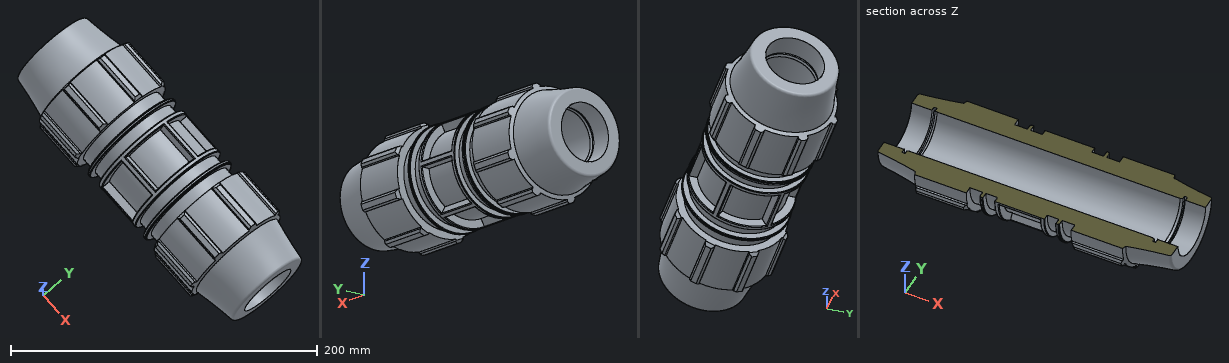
import cadquery as cq
import math

length = 215.0
half_length = length / 2
bore_radius = 40.0 / 2
body_radius = 65.6 / 2

grip_radius = 73.8 / 2
grip_half_width = 18.3
flange_width = 3.3
pocket_half_width = grip_half_width - flange_width
pocket_floor_radius = 30.6
pocket_count = 6
grip_rib_thickness = 4.0
grip_end_chamfer = 0.5
pocket_rim_chamfer = 0.6

collar_inner_x = 26.5
collar_outer_x = 29.2
collar_chamfer = 0.5
bead_radius = 37.4
bead_width = 1.8

nut_inner_x = 38.2
nut_outer_x = 77.0
nut_radius = 38.2
nut_end_slope = 0.36
nut_trim_clearance = 1.0
nut_rib_count = 8
nut_rib_radius = 40.93
nut_rib_tip_width = 4.0
nut_rib_width = 7.0
nut_rib_shoulder_radius = 39.3
nut_rib_end_chamfer = 2.1

nose_root_radius = 35.4
nose_end_radius = 30.2
nose_sag = 0.4
nose_fillet = 1.9

groove_depth_from_mouth = 15.0
groove_width = 1.9
groove_radius = 23.0
lead_in_length = 1.8
lead_in_height = 0.7

TOLERANCE = 0.01


def disc(radius, x_start, x_end):
    return cq.Workplane("YZ").workplane(offset=x_start).circle(radius).extrude(x_end - x_start)


def revolve_about_x(profile):
    return profile.close().revolve(360, (0, 0, 0), (1, 0, 0))


def is_pocket_rim(edge):
    """True for edges on the outer surface of the grip that border a pocket."""
    middle = edge.positionAt(0.5)
    on_surface = math.hypot(middle.y, middle.z) > grip_radius - TOLERANCE
    return on_surface and abs(middle.x) < pocket_half_width + TOLERANCE


def grip():
    """Band with pockets; the ribs left between them lie at 0, 60, 120... degrees from +Y."""
    pockets = disc(grip_radius, -pocket_half_width, pocket_half_width)
    pockets = pockets.cut(disc(pocket_floor_radius, -pocket_half_width, pocket_half_width))
    rib = cq.Workplane("XY").box(
        2 * grip_half_width, grip_radius, grip_rib_thickness, centered=(True, False, True)
    )
    for index in range(pocket_count):
        pockets = pockets.cut(rib.rotate((0, 0, 0), (1, 0, 0), index * 360 / pocket_count))
    band = disc(grip_radius, -grip_half_width, grip_half_width).edges().chamfer(grip_end_chamfer)
    band = band.cut(pockets)
    rim_edges = [edge for edge in band.edges().vals() if is_pocket_rim(edge)]
    return band.newObject(rim_edges).chamfer(pocket_rim_chamfer)


def collar():
    """Flange at the +X end with its bead."""
    flange = disc(grip_radius, collar_inner_x, collar_outer_x).faces(">X").edges().chamfer(collar_chamfer)
    bead = disc(bead_radius, collar_inner_x, collar_inner_x + bead_width)
    bead = bead.faces("<X").edges().chamfer(collar_chamfer)
    return flange.union(bead)


def nose():
    """Hollow-sided cone narrowing to the mouth; its cylindrical root lies inside the nut ring."""
    mid_x = (nut_outer_x + half_length) / 2
    mid_radius = (nose_root_radius + nose_end_radius) / 2 - nose_sag
    profile = (
        cq.Workplane("XY")
        .moveTo(nut_inner_x, 0)
        .lineTo(nut_inner_x, nose_root_radius)
        .lineTo(nut_outer_x, nose_root_radius)
        .threePointArc((mid_x, mid_radius), (half_length, nose_end_radius))
        .lineTo(half_length, 0)
    )
    return revolve_about_x(profile).faces(">X").edges().fillet(nose_fillet)


def nut_ribs():
    """Ribs straddling the Y and Z axes evenly: upright walls, sloped shoulders and a flat tip."""
    wall = nut_rib_width / 2
    tip = nut_rib_tip_width / 2
    rib = (
        cq.Workplane("YZ")
        .workplane(offset=nut_inner_x)
        .polyline([
            (nose_root_radius, -wall),
            (nut_rib_shoulder_radius, -wall),
            (nut_rib_radius, -tip),
            (nut_rib_radius, tip),
            (nut_rib_shoulder_radius, wall),
            (nose_root_radius, wall),
        ])
        .close()
        .extrude(nut_outer_x - nut_inner_x)
        .faces(">Y").edges("<X").chamfer(nut_rib_end_chamfer)
    )
    pitch = 360 / nut_rib_count
    return [rib.rotate((0, 0, 0), (1, 0, 0), (index + 0.5) * pitch) for index in range(nut_rib_count)]


def nut():
    """Ring and ribs, trimmed together by a shallow cone at the outer end, plus the nose."""
    solid = disc(nut_radius, nut_inner_x, nut_outer_x)
    for rib in nut_ribs():
        solid = solid.union(rib)
    rim_radius = nut_rib_radius + nut_trim_clearance
    cone_run = nut_end_slope * (rim_radius - nose_root_radius)
    envelope = (
        cq.Workplane("XY")
        .moveTo(nut_inner_x, 0)
        .lineTo(nut_inner_x, rim_radius)
        .lineTo(nut_outer_x - cone_run, rim_radius)
        .lineTo(nut_outer_x, nose_root_radius)
        .lineTo(nut_outer_x, 0)
    )
    return solid.intersect(revolve_about_x(envelope)).union(nose())


def bore_groove():
    """Space to remove from the bore at the +X end."""
    mouth_side_x = half_length - groove_depth_from_mouth
    inner_x = mouth_side_x - groove_width
    profile = (
        cq.Workplane("XY")
        .moveTo(mouth_side_x, 0)
        .lineTo(mouth_side_x, groove_radius)
        .lineTo(inner_x, groove_radius)
        .lineTo(inner_x, bore_radius + lead_in_height)
        .lineTo(inner_x - lead_in_length, bore_radius)
        .lineTo(inner_x - lead_in_length, 0)
    )
    return revolve_about_x(profile)


def on_both_ends(solid):
    return solid.union(solid.mirror("YZ"))


def body():
    """Plain barrel joining the two nuts, with the grip in its middle."""
    barrel = disc(body_radius, -nut_outer_x, nut_outer_x)
    barrel = barrel.cut(disc(body_radius, -grip_half_width, grip_half_width))
    return barrel.union(grip())


result = (
    body()
    .union(on_both_ends(collar()))
    .union(on_both_ends(nut()))
    .cut(disc(bore_radius, -half_length, half_length))
    .cut(on_both_ends(bore_groove()))
)